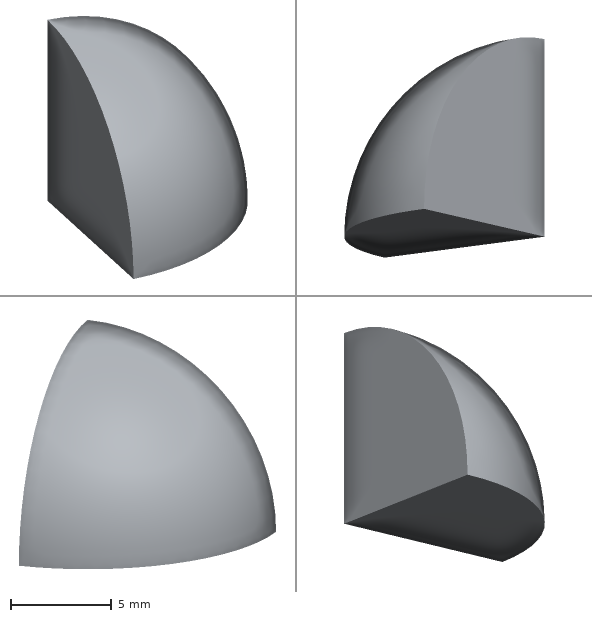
import cadquery as cq

ball_radius = 10.0
quarter_turn = 90.0


def ball_octant(radius):
    """Octant filling +X, +Y, +Z, with the ball's centre at the origin."""
    return cq.Workplane("XY").sphere(
        radius,
        angle1=0,
        angle2=quarter_turn,
        angle3=quarter_turn,
    )


result = ball_octant(ball_radius)